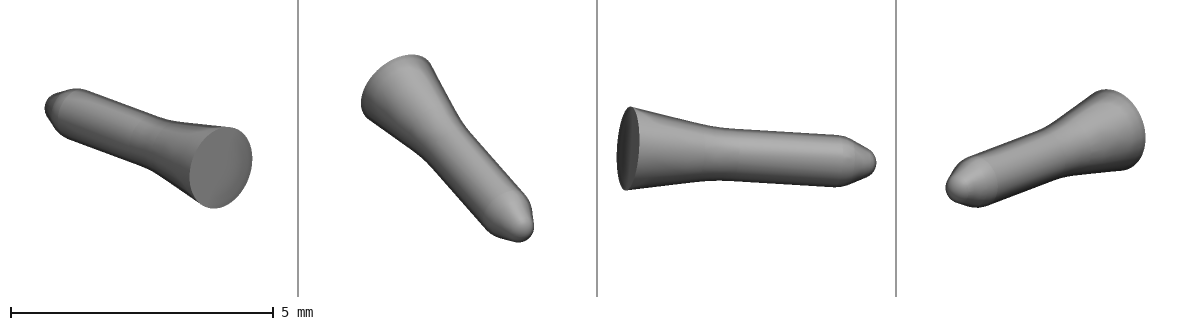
import cadquery as cq
import math

total_length = 4.9
shank_radius = 0.5
head_radius = 0.801
nose_tip_radius = 0.305
nose_half_angle = math.radians(25)
shoulder_radius = 0.59
flare_half_angle = math.radians(10)
flare_blend_radius = 4.02

tip_x = -total_length / 2
head_x = total_length / 2


def arc_point(center, radius, angle):
    """Point on a circle in the profile plane, with the angle measured from +X."""
    return (center[0] + radius * math.cos(angle), center[1] + radius * math.sin(angle))


tip_center = (tip_x + nose_tip_radius, 0)
tip_start = (tip_x, 0)
nose_normal = math.pi / 2 + nose_half_angle
tip_middle = arc_point(tip_center, nose_tip_radius, (math.pi + nose_normal) / 2)
tip_end = arc_point(tip_center, nose_tip_radius, nose_normal)

shoulder_blend_length = shoulder_radius * math.tan(nose_half_angle / 2)
nose_corner_x = tip_end[0] + (shank_radius - tip_end[1]) / math.tan(nose_half_angle)
shoulder_center = (nose_corner_x + shoulder_blend_length, shank_radius - shoulder_radius)
shoulder_start = arc_point(shoulder_center, shoulder_radius, nose_normal)
shoulder_middle = arc_point(shoulder_center, shoulder_radius, (math.pi / 2 + nose_normal) / 2)
shoulder_end = (shoulder_center[0], shank_radius)

flare_blend_length = flare_blend_radius * math.tan(flare_half_angle / 2)
flare_corner_x = head_x - (head_radius - shank_radius) / math.tan(flare_half_angle)
flare_center = (flare_corner_x - flare_blend_length, shank_radius + flare_blend_radius)
flare_start = (flare_center[0], shank_radius)
flare_middle = arc_point(flare_center, flare_blend_radius, (flare_half_angle - math.pi) / 2)
flare_end = arc_point(flare_center, flare_blend_radius, flare_half_angle - math.pi / 2)

profile = (
    cq.Workplane("XY")
    .moveTo(*tip_start)
    .threePointArc(tip_middle, tip_end)
    .lineTo(*shoulder_start)
    .threePointArc(shoulder_middle, shoulder_end)
    .lineTo(*flare_start)
    .threePointArc(flare_middle, flare_end)
    .lineTo(head_x, head_radius)
    .lineTo(head_x, 0)
    .close()
)

result = profile.revolve(360, (0, 0, 0), (1, 0, 0))